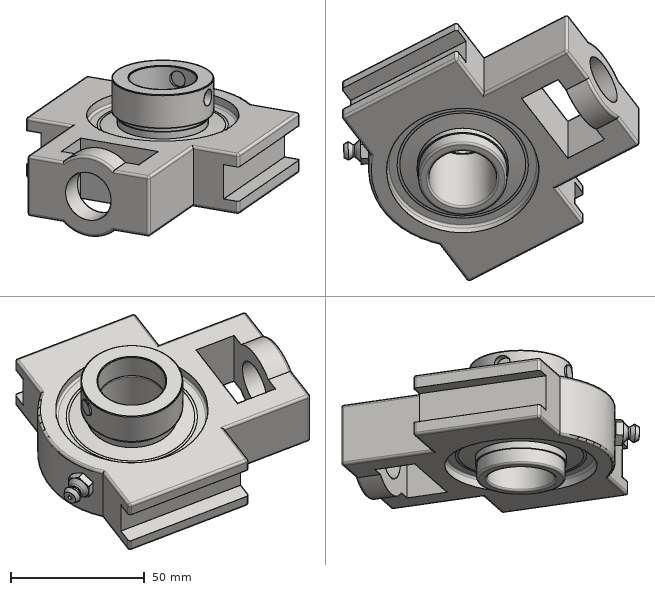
import cadquery as cq
import math

BODY_LENGTH = 89.0
BODY_HALF_WIDTH = 25.5
HOUSING_HEIGHT = 24.0
HALF_HEIGHT = HOUSING_HEIGHT / 2
DOME_RADIUS = 35.2
NECK_WIDTH = 51.0
NECK_END_Y = -62.2
EDGE_FILLET = 1.0

GUIDE_SLOT_WIDTH = 13.7
GUIDE_SLOT_DEPTH = 6.3

WINDOW_WIDTH = 32.3
WINDOW_NEAR_Y = -36.2
WINDOW_FAR_Y = -52.3

BOSS_RADIUS = 16.0
SCREW_HOLE_DIAMETER = 19.0

RECESS_DIAMETER = 56.9
RECESS_FILLET = 0.9

OUTER_RING_WIDTH = 16.1
OUTER_RING_FACE_DIAMETER = 49.1
OUTER_RING_BORE = 45.2
SPHERE_RADIUS = math.hypot(OUTER_RING_WIDTH, OUTER_RING_FACE_DIAMETER) / 2

SEAL_DIAMETER = 47.0
SEAL_THICKNESS = 1.5
SEAL_RISE = 0.6

SHAFT_DIAMETER = 25.4
INNER_RING_END_DIAMETER = 33.0
INNER_RING_DIAMETER = 34.1
INNER_RING_HALF_WIDTH = 11.4
INNER_RING_BOTTOM = -17.5
SHOULDER_Z = 13.5
NOSE_DIAMETER = 30.7
NOSE_LENGTH = 3.7
SHOULDER_CHAMFER = 0.4
RING_FILLET = 0.8

COLLAR_DIAMETER = 38.1
COLLAR_TOP = 26.9
COLLAR_CHAMFER = 0.3
SET_SCREW_DIAMETER = 6.3
SET_SCREW_Z = 22.0
SET_SCREW_OUTER_Y = 19.6
SET_SCREW_INNER_Y = 13.7
DRIFT_HOLE_DIAMETER = 6.3
DRIFT_HOLE_DEPTH = 3.1

NIPPLE_ANGLE = 30.0
NIPPLE_Z = 3.1
SHANK_DIAMETER = 6.0
SHANK_LENGTH = 5.1
HEX_ACROSS_FLATS = 9.0
HEX_HEIGHT = 3.0
CONE_BASE_RADIUS = 4.4
CONE_TOP_RADIUS = 2.9
CONE_HEIGHT = 1.6
WAIST_RADIUS = 2.3
WAIST_START = 5.2
WAIST_END = 5.8
HEAD_RADIUS = 3.5
HEAD_HEIGHT = 7.5
TIP_RADIUS = 2.5
NIPPLE_LENGTH = 9.3
GREASE_HOLE_DIAMETER = 1.5
GREASE_HOLE_DEPTH = 1.0


def disc(diameter, bottom, top):
    """Cylinder on the Z axis between two heights."""
    return cq.Workplane("XY").workplane(offset=bottom).circle(diameter / 2).extrude(top - bottom)


def both_ends(shape):
    """The shape joined with its mirror image below the mid-plane."""
    return shape.union(shape.mirror("XY"))


def rounded_block():
    """Body with a dome at +Y and a neck at -Y, rounded along its outline and outer corners."""
    ears = cq.Workplane("XY").box(BODY_LENGTH, 2 * BODY_HALF_WIDTH, HOUSING_HEIGHT)
    neck_length = BODY_HALF_WIDTH - NECK_END_Y
    neck = (
        cq.Workplane("XY", origin=(0, BODY_HALF_WIDTH - neck_length / 2, 0))
        .box(NECK_WIDTH, neck_length, HOUSING_HEIGHT)
    )
    outline = ears.edges("|Z").fillet(EDGE_FILLET).union(neck.edges("|Z and <Y").fillet(EDGE_FILLET))
    dome_half = (
        cq.Workplane("XY", origin=(0, DOME_RADIUS / 2, 0))
        .box(2 * DOME_RADIUS, DOME_RADIUS, HOUSING_HEIGHT)
        .intersect(disc(2 * DOME_RADIUS, -HALF_HEIGHT, HALF_HEIGHT))
    )
    return outline.union(dome_half).faces(">Z or <Z").edges().fillet(EDGE_FILLET)


def end_boss():
    """Round boss that stands proud of the neck above and below, rounded at its outer end."""
    return (
        cq.Workplane("XZ", origin=(0, WINDOW_FAR_Y, 0))
        .circle(BOSS_RADIUS)
        .extrude(WINDOW_FAR_Y - NECK_END_Y)
        .faces("<Y")
        .edges()
        .fillet(EDGE_FILLET)
    )


def guide_slots():
    """Slots along the two ears, open at the ends."""
    return (
        cq.Workplane("XY")
        .pushPoints([(-BODY_LENGTH / 2, 0), (BODY_LENGTH / 2, 0)])
        .box(2 * GUIDE_SLOT_DEPTH, 2 * BODY_HALF_WIDTH, GUIDE_SLOT_WIDTH)
    )


def window():
    """Rectangular opening through the neck."""
    return (
        cq.Workplane("XY", origin=(0, (WINDOW_NEAR_Y + WINDOW_FAR_Y) / 2, 0))
        .box(WINDOW_WIDTH, WINDOW_NEAR_Y - WINDOW_FAR_Y, HOUSING_HEIGHT)
    )


def screw_hole():
    """Hole for the adjusting screw, from the end of the neck into the window."""
    return (
        cq.Workplane("XZ", origin=(0, WINDOW_FAR_Y, 0))
        .circle(SCREW_HOLE_DIAMETER / 2)
        .extrude(WINDOW_FAR_Y - NECK_END_Y)
    )


def bearing_recess():
    """Recess above the bearing, with a rounded floor corner."""
    recess = disc(RECESS_DIAMETER, OUTER_RING_WIDTH / 2, HALF_HEIGHT)
    return recess.faces("<Z").edges().fillet(RECESS_FILLET)


def bearing_seat():
    """Barrel cut from a sphere: the shared surface of the housing and the outer ring."""
    band = disc(2 * SPHERE_RADIUS, -OUTER_RING_WIDTH / 2, OUTER_RING_WIDTH / 2)
    return cq.Workplane("XY").sphere(SPHERE_RADIUS).intersect(band)


def nipple_plane():
    """Plane tangent to the dome at the grease nipple, with its normal pointing outward."""
    angle = math.radians(NIPPLE_ANGLE)
    outward = (-math.sin(angle), math.cos(angle), 0)
    base = (DOME_RADIUS * outward[0], DOME_RADIUS * outward[1], NIPPLE_Z)
    return cq.Workplane(cq.Plane(origin=base, xDir=(0, 0, 1), normal=outward))


def nipple_shank():
    """Plain shank from the tangent plane into the housing."""
    return nipple_plane().circle(SHANK_DIAMETER / 2).extrude(-SHANK_LENGTH)


def build_housing():
    solid = rounded_block().cut(window()).union(end_boss())
    solid = solid.cut(guide_slots()).cut(screw_hole())
    solid = solid.cut(both_ends(bearing_recess())).cut(bearing_seat())
    return solid.cut(nipple_shank())


def upper_seal():
    """Slightly conical ring, rising toward the inner ring, flush with the outer ring at its rim."""
    rim_radius = SEAL_DIAMETER / 2
    inner_radius = INNER_RING_DIAMETER / 2
    rim_top = OUTER_RING_WIDTH / 2
    bottom = rim_top - SEAL_THICKNESS
    profile = [
        (inner_radius, bottom),
        (rim_radius, bottom),
        (rim_radius, rim_top),
        (inner_radius, rim_top + SEAL_RISE),
    ]
    return cq.Workplane("XZ").polyline(profile).close().revolve()


def build_seal(upper):
    return upper_seal() if upper else upper_seal().mirror("XY")


def build_outer_ring():
    half_width = OUTER_RING_WIDTH / 2
    seal_seat = disc(SEAL_DIAMETER, half_width - SEAL_THICKNESS, half_width)
    bore = disc(OUTER_RING_BORE, -half_width, half_width)
    return bearing_seat().cut(bore).cut(both_ends(seal_seat))


def ring_nose():
    """Reduced upper end of the inner ring that fits into the collar."""
    return disc(NOSE_DIAMETER, SHOULDER_Z, SHOULDER_Z + NOSE_LENGTH)


def build_inner_ring():
    sleeve = disc(INNER_RING_END_DIAMETER, INNER_RING_BOTTOM, SHOULDER_Z)
    sleeve = sleeve.faces(">Z").edges().chamfer(SHOULDER_CHAMFER)
    race = disc(INNER_RING_DIAMETER, -INNER_RING_HALF_WIDTH, INNER_RING_HALF_WIDTH)
    bore = disc(SHAFT_DIAMETER, INNER_RING_BOTTOM, SHOULDER_Z + NOSE_LENGTH)
    ring = sleeve.union(race).union(ring_nose()).cut(bore)
    ring = ring.faces("<Z").edges().fillet(RING_FILLET)
    return ring.faces(">Z").edges(cq.selectors.RadiusNthSelector(0)).fillet(RING_FILLET)


def build_set_screw():
    return (
        cq.Workplane("XZ", origin=(0, SET_SCREW_OUTER_Y, SET_SCREW_Z))
        .circle(SET_SCREW_DIAMETER / 2)
        .extrude(SET_SCREW_OUTER_Y - SET_SCREW_INNER_Y)
    )


def set_screw_hole():
    """Radial hole through the collar wall at +Y."""
    return (
        cq.Workplane("XZ", origin=(0, COLLAR_DIAMETER / 2, SET_SCREW_Z))
        .circle(SET_SCREW_DIAMETER / 2)
        .extrude(COLLAR_DIAMETER / 2)
    )


def drift_hole():
    """Blind radial hole in the collar at +X."""
    return (
        cq.Workplane("YZ", origin=(COLLAR_DIAMETER / 2, 0, SET_SCREW_Z))
        .circle(DRIFT_HOLE_DIAMETER / 2)
        .extrude(-DRIFT_HOLE_DEPTH)
    )


def build_collar():
    blank = disc(COLLAR_DIAMETER, SHOULDER_Z, COLLAR_TOP)
    collar = blank.cut(disc(SHAFT_DIAMETER, SHOULDER_Z, COLLAR_TOP))
    collar = collar.faces("<Z").edges(cq.selectors.RadiusNthSelector(-1)).chamfer(COLLAR_CHAMFER)
    collar = collar.faces(">Z").edges().chamfer(COLLAR_CHAMFER)
    return collar.cut(ring_nose()).cut(set_screw_hole()).cut(drift_hole())


def nipple_head():
    """Turned part of the nipple above the hexagon: cone, waist and ball-shaped head."""
    base = nipple_plane().plane
    profile = [
        (0, HEX_HEIGHT),
        (CONE_BASE_RADIUS, HEX_HEIGHT),
        (CONE_TOP_RADIUS, HEX_HEIGHT + CONE_HEIGHT),
        (WAIST_RADIUS, WAIST_START),
        (WAIST_RADIUS, WAIST_END),
        (HEAD_RADIUS, HEAD_HEIGHT),
        (TIP_RADIUS, NIPPLE_LENGTH),
        (0, NIPPLE_LENGTH),
    ]
    side_plane = cq.Plane(origin=base.origin, xDir=base.xDir, normal=base.yDir * -1)
    return cq.Workplane(side_plane).polyline(profile).close().revolve(360, (0, 0), (0, 1))


def build_nipple():
    corner_diameter = HEX_ACROSS_FLATS / math.cos(math.radians(30))
    hexagon = nipple_plane().polygon(6, corner_diameter).extrude(HEX_HEIGHT)
    grease_hole = (
        nipple_plane()
        .workplane(offset=NIPPLE_LENGTH)
        .circle(GREASE_HOLE_DIAMETER / 2)
        .extrude(-GREASE_HOLE_DEPTH)
    )
    return hexagon.union(nipple_head()).union(nipple_shank()).cut(grease_hole)


housing = build_housing()
outer_ring = build_outer_ring()
inner_ring = build_inner_ring()
seals = [build_seal(upper) for upper in (True, False)]
collar = build_collar()
set_screw = build_set_screw()
nipple = build_nipple()

result = cq.Compound.makeCompound(
    [
        housing.val(),
        outer_ring.val(),
        inner_ring.val(),
        *[seal.val() for seal in seals],
        collar.val(),
        set_screw.val(),
        nipple.val(),
    ]
)